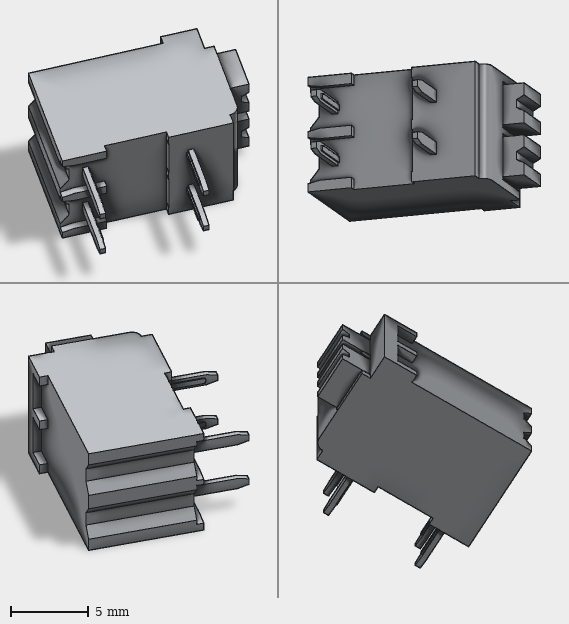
import cadquery as cq

CELL_PITCH = 3.5
BODY_HEIGHT = 7.7
CELL_CENTRES = [BODY_HEIGHT / 2 + side * CELL_PITCH / 2 for side in (-1, 1)]

BODY_RIGHT = 8.38
BODY_BACK = 11.56
LIP_DEPTH = 0.57
LIP_FRONT = 9.1
CELL_WIDTH = 2.8
LIP_POCKET_BACK = 10.55

RIDGE_LEFT = 1.75
RIDGE_RIGHT = 7.65
RIDGE_BACK = 12.2
RIDGE_RADIUS = 0.63
SLOT_FLARE = 0.15
SLOT_FLARE_LENGTH = 0.3

TAB_WIDTH = 2.69
TAB_LEFT = 1.79
TAB_RIGHT = 4.87
TAB_BACK = 13.65
TAB_CLEARANCE = TAB_LEFT - RIDGE_LEFT
TAB_NOTCH_DEPTH = 0.52
TAB_NOTCH_MOUTH = 1.06
TAB_NOTCH_FLOOR = 0.52

GROOVE_DEPTH = 0.6
GROOVE_MOUTH = 2.43
GROOVE_FLOOR = 0.98

RELIEF_DEPTH = 0.48
RELIEF_X = (BODY_RIGHT - RELIEF_DEPTH, BODY_RIGHT)
RELIEF_FRONT = 3.0
RELIEF_BACK = 7.18
FOOT_FLARE = 0.15
FOOT_FLARE_LENGTH = 0.82
RAMP_LENGTH = 0.04

PIN_END = 11.9
PIN_WIDTH = 0.8
PIN_THICKNESS = 0.38
PIN_TIP_WIDTH = 0.44
PIN_TIP_START = 11.12
FRONT_PIN_Y = 1.52
BACK_PIN_Y = 8.5
PIN_RIB_HEIGHT = 0.1
PIN_RIB_WIDTH = 0.38
PIN_RIB_END = 11.07
PIN_RIB_RADIUS = 0.14


def block(x_range, y_range, z_range):
    """Box given by its limits along each axis."""
    size = [high - low for low, high in (x_range, y_range, z_range)]
    corner = (x_range[0], y_range[0], z_range[0])
    return cq.Workplane("XY").box(*size, centered=False).translate(corner)


def span(centre, width):
    """Limits of a width centred on a coordinate."""
    return (centre - width / 2, centre + width / 2)


def prism_along_x(points, x_range):
    """Extrude a (Y, Z) outline between two X positions."""
    plane = cq.Workplane("YZ", origin=(x_range[0], 0, 0))
    return plane.polyline(points).close().extrude(x_range[1] - x_range[0])


def symmetric_outline(half_profile, centre):
    """Mirror (Y, half width) points about a Z centre into a closed outline."""
    upper = [(y, centre + half) for y, half in half_profile]
    lower = [(y, centre - half) for y, half in reversed(half_profile)]
    return upper + lower


def make_housing():
    """Body with its lip, pin-side relief and rounded back ridge."""
    body = block((0, BODY_RIGHT), (0, BODY_BACK), (0, BODY_HEIGHT))
    body = body.cut(block((0, LIP_DEPTH), (0, LIP_FRONT), (0, BODY_HEIGHT)))
    body = body.cut(block(RELIEF_X, (RELIEF_FRONT, RELIEF_BACK), (0, BODY_HEIGHT)))
    ridge = block((RIDGE_LEFT, RIDGE_RIGHT), (BODY_BACK, RIDGE_BACK), (0, BODY_HEIGHT))
    ridge = ridge.edges("|Z and >X and >Y").fillet(RIDGE_RADIUS)
    return body.union(ridge)


def lip_pocket(centre):
    """Pocket that leaves a U of lip around the cell."""
    return block((0, LIP_DEPTH), (LIP_FRONT, LIP_POCKET_BACK), span(centre, CELL_WIDTH))


def tab_slot(centre):
    """Slot that holds the tab in the ridge; its mouth widens towards the back."""
    half = CELL_WIDTH / 2
    profile = [
        (BODY_BACK, half),
        (RIDGE_BACK - SLOT_FLARE_LENGTH, half),
        (RIDGE_BACK, half + SLOT_FLARE),
    ]
    return prism_along_x(symmetric_outline(profile, centre), (RIDGE_LEFT, TAB_RIGHT + TAB_CLEARANCE))


def front_groove(centre):
    """Trapezoidal groove running the full width of the front face."""
    profile = [(0, GROOVE_MOUTH / 2), (GROOVE_DEPTH, GROOVE_FLOOR / 2)]
    return prism_along_x(symmetric_outline(profile, centre), (0, BODY_RIGHT))


def foot_slot(centre):
    """Slot through the front foot whose mouth widens towards the front."""
    half = CELL_WIDTH / 2
    profile = [(0, half + FOOT_FLARE), (FOOT_FLARE_LENGTH, half), (RELIEF_FRONT, half)]
    return prism_along_x(symmetric_outline(profile, centre), RELIEF_X)


def relief_ramp(centre):
    """Lead-in that slopes the back wall of the relief outwards within one cell."""
    inner, outer = RELIEF_X
    low_z, high_z = span(centre, CELL_WIDTH)
    outline = [(inner, RELIEF_BACK), (outer, RELIEF_BACK), (outer, RELIEF_BACK + RAMP_LENGTH)]
    return cq.Workplane("XY", origin=(0, 0, low_z)).polyline(outline).close().extrude(high_z - low_z)


def button_tab(centre):
    """Tab with a tapered notch across its back face."""
    profile = [
        (BODY_BACK, TAB_WIDTH / 2),
        (TAB_BACK, TAB_WIDTH / 2),
        (TAB_BACK, TAB_NOTCH_MOUTH / 2),
        (TAB_BACK - TAB_NOTCH_DEPTH, TAB_NOTCH_FLOOR / 2),
    ]
    return prism_along_x(symmetric_outline(profile, centre), (TAB_LEFT, TAB_RIGHT))


def solder_pin(pin_y, rib_y, centre):
    """Flat tapered pin with a raised rib on the face that starts at rib_y."""
    start = RELIEF_X[0]
    half_profile = [
        (start, PIN_WIDTH / 2),
        (PIN_TIP_START, PIN_WIDTH / 2),
        (PIN_END, PIN_TIP_WIDTH / 2),
    ]
    outline = symmetric_outline(half_profile, centre)
    blade = cq.Workplane("XZ", origin=(0, pin_y, 0)).polyline(outline).close().extrude(-PIN_THICKNESS)
    rib = block((start, PIN_RIB_END), (rib_y, rib_y + PIN_RIB_HEIGHT), span(centre, PIN_RIB_WIDTH))
    rib = rib.edges("|Y and >X").fillet(PIN_RIB_RADIUS)
    return blade.union(rib)


result = make_housing()
for cell_z in CELL_CENTRES:
    for cutter in (lip_pocket, tab_slot, front_groove, foot_slot, relief_ramp):
        result = result.cut(cutter(cell_z))
    result = result.union(button_tab(cell_z))
    result = result.union(solder_pin(FRONT_PIN_Y, FRONT_PIN_Y + PIN_THICKNESS, cell_z))
    result = result.union(solder_pin(BACK_PIN_Y, BACK_PIN_Y - PIN_RIB_HEIGHT, cell_z))